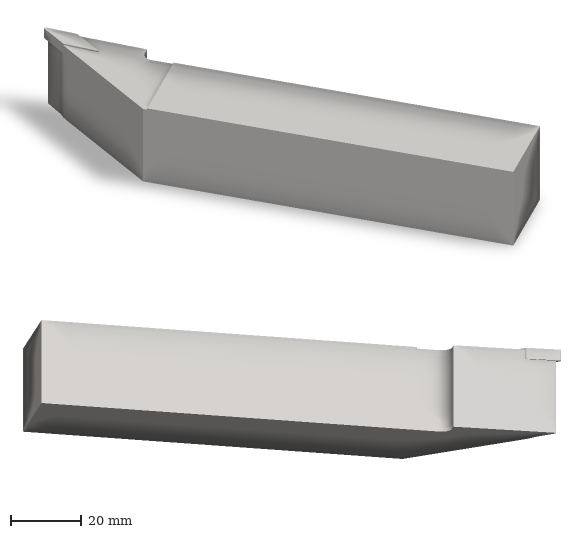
import cadquery as cq
import math

TOOL_LENGTH = 150.0
TOOL_WIDTH = 31.5
SHANK_SIZE = 25.0
HEAD_STEP_X = 40.7
HEAD_DROP = 0.5

FLANK_ANGLE = 38.0
FLANK_END_X = 39.5
FLANK_START_X = 9.2
SEAT_RELIEF = (6.5, 26.4)
HEAD_NOSE = (0.8, 31.0)
HEAD_NOSE_RADIUS = 0.3
HEAD_BACK = (31.0, 30.0)
SHOULDER_RADIUS = 3.0

INSERT_SIDE = 10.8
INSERT_POINT_ANGLE = 35.0
INSERT_THICKNESS = 3.3
NOSE_RADIUS = 0.38
INSERT_BACK_ANGLE = FLANK_ANGLE - INSERT_POINT_ANGLE


def insert_corners():
    """Sharp corners in order: cutting point, flank, inner, back."""
    half_point = math.radians(INSERT_POINT_ANGLE / 2)
    axis_angle = math.radians((FLANK_ANGLE + INSERT_BACK_ANGLE) / 2)
    flank_slope = math.radians(FLANK_ANGLE)
    back_slope = math.radians(INSERT_BACK_ANGLE)
    nose_x = NOSE_RADIUS
    nose_y = TOOL_WIDTH - NOSE_RADIUS
    center_to_point = NOSE_RADIUS / math.sin(half_point)
    point = cq.Vector(
        nose_x - center_to_point * math.cos(axis_angle),
        nose_y + center_to_point * math.sin(axis_angle),
    )
    along_back = cq.Vector(math.cos(back_slope), -math.sin(back_slope)) * INSERT_SIDE
    along_flank = cq.Vector(math.cos(flank_slope), -math.sin(flank_slope)) * INSERT_SIDE
    corners = [point, point + along_flank, point + along_flank + along_back, point + along_back]
    return [(corner.x, corner.y) for corner in corners]


def make_insert():
    return (
        cq.Workplane("XY")
        .workplane(offset=SHANK_SIZE - INSERT_THICKNESS)
        .polyline(insert_corners())
        .close()
        .extrude(INSERT_THICKNESS)
        .edges("|Z and <X")
        .fillet(NOSE_RADIUS)
    )


def make_head():
    flank_rise = (FLANK_END_X - FLANK_START_X) * math.tan(math.radians(FLANK_ANGLE))
    seat_edge = insert_corners()[1]
    arc_middle = SHOULDER_RADIUS * (1 - math.sqrt(0.5))
    back_x, back_y = HEAD_BACK
    return (
        cq.Workplane("XY")
        .moveTo(*HEAD_NOSE)
        .lineTo(*SEAT_RELIEF)
        .lineTo(*seat_edge)
        .lineTo(FLANK_START_X, flank_rise)
        .lineTo(FLANK_END_X, 0)
        .lineTo(HEAD_STEP_X, 0)
        .lineTo(HEAD_STEP_X, SHANK_SIZE)
        .lineTo(back_x + SHOULDER_RADIUS, SHANK_SIZE)
        .threePointArc(
            (back_x + arc_middle, SHANK_SIZE + arc_middle),
            (back_x, SHANK_SIZE + SHOULDER_RADIUS),
        )
        .lineTo(back_x, back_y)
        .close()
        .extrude(SHANK_SIZE - HEAD_DROP)
        .edges("|Z and <X")
        .fillet(HEAD_NOSE_RADIUS)
    )


def make_shank():
    return cq.Workplane("XY").box(
        TOOL_LENGTH - HEAD_STEP_X, SHANK_SIZE, SHANK_SIZE, centered=False
    ).translate((HEAD_STEP_X, 0, 0))


insert = make_insert()
holder = make_head().union(make_shank()).cut(insert)

result = cq.Compound.makeCompound([holder.solids().val(), insert.solids().val()])